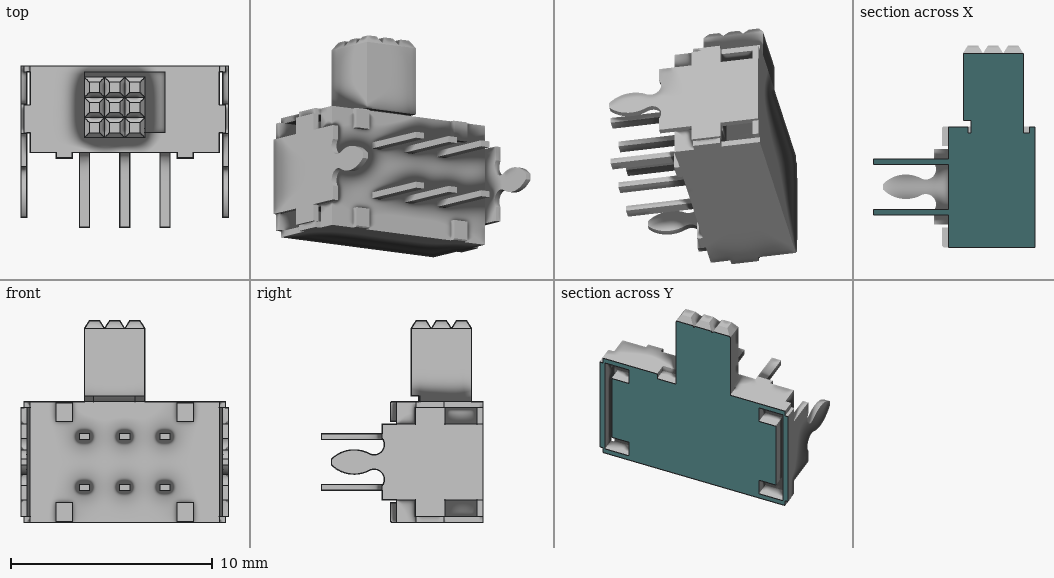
import cadquery as cq
import math


sheet = 0.3
overall_width = 10.3
housing_width = 9.37
tabbed_width = 10.0
housing_height = 5.99
housing_depth = 4.3
inner_height = housing_height - 2 * sheet
tab_back = 1.94
tab_front = 3.32

side_height = 3.75
side_tab_back = 1.9
side_tab_front = 3.36
side_depth = 5.0
notch_radius = 0.5
notch_center_y = 5.4
neck_half_height = 0.36
leaf_center_y = 6.39
leaf_half_height = 0.61
leg_tip_y = 7.51

clip_width = 0.8
clip_center_x = 3.0
clip_drop = 0.99
clip_edge_chamfer = 0.06

base_back = 3.35
core_width = 8.98
core_back = 1.9
pin_width = 0.5
pin_thickness = 0.3
pin_pitch_x = 2.0
pin_offset_z = 1.26
pin_tip_y = 8.0

slot_width = 4.0
slot_back = sheet
slot_depth = 3.0
carriage_width = 7.15
knob_size = 3.0
knob_back = 0.57
knob_top = 7.0
knob_gap = 0.28
neck_depth = 2.54
neck_key_width = 2.05
neck_key_start = 0.45
neck_key_step = 0.08
teeth_per_row = 3
tooth_height = 0.39
tooth_top = 0.5


def block(x_range, y_range, z_range):
    """Box from its X and Z limits and its distances in front of the back face."""
    x0, x1 = x_range
    back, front = y_range
    z0, z1 = z_range
    box = cq.Workplane("XY").box(x1 - x0, front - back, z1 - z0, centered=False)
    return box.translate((x0, -front, z0))


def centered_range(size, center=0.0):
    return center - size / 2, center + size / 2


def make_shell():
    """Back plate with top and bottom plates, each with a tab at both ends."""
    shell = block(centered_range(tabbed_width), (0, sheet), centered_range(inner_height))
    for z_range in ((inner_height / 2, housing_height / 2), (-housing_height / 2, -inner_height / 2)):
        shell = shell.union(block(centered_range(housing_width), (0, housing_depth), z_range))
        shell = shell.union(block(centered_range(tabbed_width), (tab_back, tab_front), z_range))
    return shell


def make_clip(center_x):
    """Upper clip, folded down over the front of the base."""
    clip = block(
        centered_range(clip_width, center_x),
        (housing_depth, housing_depth + sheet),
        (housing_height / 2 - clip_drop, housing_height / 2),
    )
    return clip.faces("<Y").edges(">Z").chamfer(clip_edge_chamfer)


def make_side_plate():
    """Left side plate with a leaf-shaped leg between two round notches."""
    notch_center_z = neck_half_height + notch_radius
    center_gap_y = leaf_center_y - notch_center_y
    center_gap_z = notch_center_z - leaf_half_height
    leaf_radius = (center_gap_y**2 + center_gap_z**2 - notch_radius**2) / (2 * (notch_radius - center_gap_z))
    leaf_center_z = leaf_half_height - leaf_radius

    notch_start_z = notch_center_z + math.sqrt(notch_radius**2 - (notch_center_y - side_depth) ** 2)
    blend = notch_radius / (notch_radius + leaf_radius)
    blend_y = notch_center_y + blend * center_gap_y
    blend_z = notch_center_z + blend * (leaf_center_z - notch_center_z)
    tip_half_height = leaf_center_z + math.sqrt(leaf_radius**2 - (leg_tip_y - leaf_center_y) ** 2)
    notch_mid = notch_radius * math.sqrt(0.5)

    half_plate = (
        cq.Workplane("YZ")
        .moveTo(0, 0)
        .lineTo(0, side_height / 2)
        .lineTo(-side_tab_back, side_height / 2)
        .lineTo(-side_tab_back, inner_height / 2)
        .lineTo(-side_tab_front, inner_height / 2)
        .lineTo(-side_tab_front, side_height / 2)
        .lineTo(-side_depth, side_height / 2)
        .lineTo(-side_depth, notch_start_z)
        .threePointArc((-notch_center_y + notch_mid, notch_center_z - notch_mid), (-blend_y, blend_z))
        .threePointArc((-leaf_center_y, leaf_half_height), (-leg_tip_y, tip_half_height))
        .lineTo(-leg_tip_y, 0)
        .close()
        .extrude(sheet)
        .translate((-overall_width / 2, 0, 0))
    )
    return half_plate.union(half_plate.mirror("XY"))


def make_base():
    """Front block closing the housing, with a smaller core behind it."""
    front_block = block(
        centered_range(housing_width),
        (base_back, housing_depth),
        centered_range(housing_height),
    )
    core = block(centered_range(core_width), (core_back, base_back), centered_range(side_height))
    return front_block.union(core)


def make_pin(column, row):
    """Straight pin standing out of the front of the base."""
    return block(
        centered_range(pin_width, column * pin_pitch_x),
        (housing_depth, pin_tip_y),
        centered_range(pin_thickness, row * pin_offset_z),
    )


def make_knob():
    """Knob at the left end of the slot, on a stepped neck, topped by truncated pyramids."""
    left = -slot_width / 2
    floor = inner_height / 2
    body_bottom = housing_height / 2 + knob_gap
    body_top = knob_top - tooth_height
    neck_front = knob_back + neck_depth
    key_left = left + neck_key_start

    knob = block((left, left + knob_size), (knob_back, knob_back + knob_size), (body_bottom, body_top))
    knob = knob.union(block((left, left + knob_size), (knob_back, neck_front), (floor, body_bottom)))
    key_front = neck_front + neck_key_step
    key = block((key_left, key_left + neck_key_width), (knob_back, key_front), (floor, body_bottom))
    knob = knob.union(key)

    tooth_pitch = knob_size / teeth_per_row
    tooth = (
        cq.Workplane("XY")
        .rect(tooth_pitch, tooth_pitch)
        .workplane(offset=tooth_height)
        .rect(tooth_top, tooth_top)
        .loft(combine=True)
    )
    for column in range(teeth_per_row):
        for row in range(teeth_per_row):
            x = left + (column + 0.5) * tooth_pitch
            y = -knob_back - (row + 0.5) * tooth_pitch
            knob = knob.union(tooth.translate((x, y, body_top)))
    return knob


result = make_shell().union(make_base())

slot = block(
    centered_range(slot_width),
    (slot_back, slot_back + slot_depth),
    (inner_height / 2, housing_height / 2),
)
carriage = block(centered_range(carriage_width), (sheet, base_back), centered_range(inner_height))
result = result.cut(slot).union(carriage).union(make_knob())

side_plate = make_side_plate()
result = result.union(side_plate).union(side_plate.mirror("YZ"))

for side in (-1, 1):
    clip = make_clip(side * clip_center_x)
    result = result.union(clip).union(clip.mirror("XY"))

for column in (-1, 0, 1):
    for row in (-1, 1):
        result = result.union(make_pin(column, row))